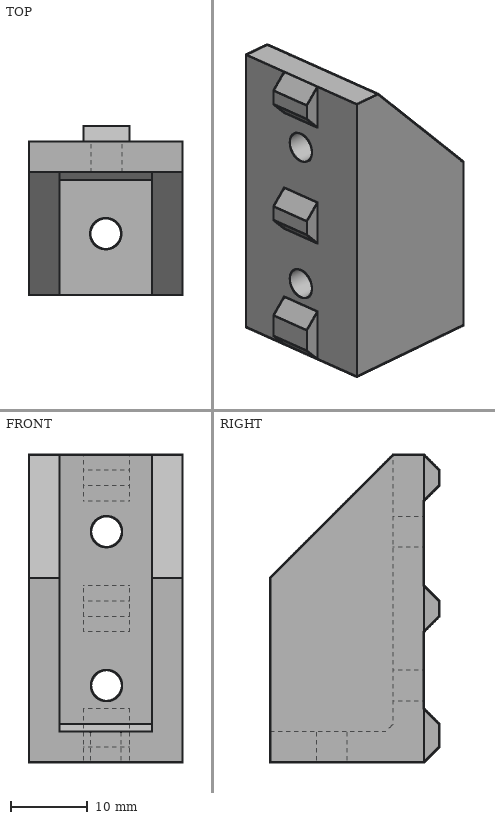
import cadquery as cq

height = 40
width = 20
depth = 20
wall = 4
slope_run = depth - wall
slope_bottom = height - slope_run
corner_fill = 1.0

back_center_x = 0.1

hole_diameter = 4
back_hole_heights = (height / 4, height * 3 / 4)
floor_hole_y = -12

lug_width = 6
lug_projection = 2
lug_height = 6
bottom_lug_height = 7.0
lug_spans = (
    (0, bottom_lug_height),
    ((height - lug_height) / 2, (height + lug_height) / 2),
    (height - lug_height, height),
)


def extrude_across(points, across):
    """Extrude a Y-Z outline symmetrically about the X = 0 plane."""
    return cq.Workplane("YZ").polyline(points).close().extrude(across / 2, both=True)


def make_body():
    """Block with a 45 degree slope from the back wall down to the front."""
    return extrude_across(
        [(0, 0), (-depth, 0), (-depth, slope_bottom), (-wall, height), (0, height)],
        width,
    )


def make_pocket():
    """Open channel between the side walls, sloped at its inner bottom corner."""
    return extrude_across(
        [
            (-depth, wall),
            (-wall - corner_fill, wall),
            (-wall, wall + corner_fill),
            (-wall, height),
            (-depth, height),
        ],
        width - 2 * wall,
    )


def make_lug(bottom, top):
    """Trapezoidal lug standing out from the mounting face."""
    return extrude_across(
        [
            (0, bottom),
            (lug_projection, bottom + lug_projection),
            (lug_projection, top - lug_projection),
            (0, top),
        ],
        lug_width,
    ).translate((back_center_x, 0, 0))


def make_back_hole(z):
    """Drill for a screw through the back wall."""
    return cq.Workplane("XZ").center(back_center_x, z).circle(hole_diameter / 2).extrude(depth)


def make_floor_hole():
    """Drill for a screw through the floor."""
    return cq.Workplane("XY").center(0, floor_hole_y).circle(hole_diameter / 2).extrude(height)


result = make_body().cut(make_pocket())
for lug_bottom, lug_top in lug_spans:
    result = result.union(make_lug(lug_bottom, lug_top))
for hole_height in back_hole_heights:
    result = result.cut(make_back_hole(hole_height))
result = result.cut(make_floor_hole())